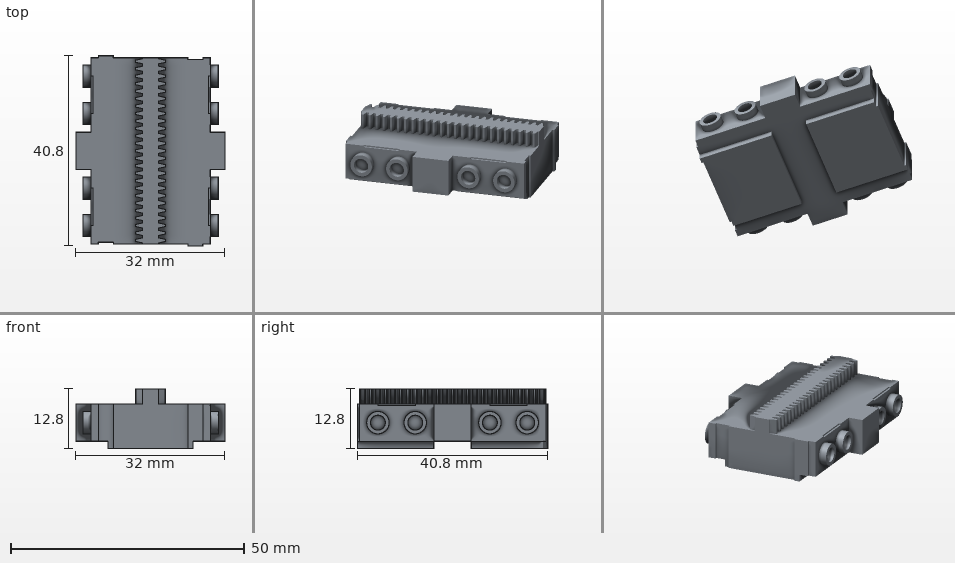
import cadquery as cq

grid = 8.0

body_width = 25.6
body_length = 40.0
body_height = grid
arm_span = 4 * grid
arm_width = grid

base_width = 18.28
base_height = 1.6
base_gap = grid

tab_width = 3.2
tab_depth = 0.4
tab_offset = 9.6

stud_diameter = 4.8
stud_bore_diameter = 3.2
stud_length = 1.7
stud_positions = [-2 * grid, -grid, grid, 2 * grid]

slot_length = grid
slot_offset = 1.5 * grid
slot_depth_x = 0.4
slot_depth_z = 0.33

rack_height = 3.22
rack_tip_width = 6.35
rack_root_width = 3.43
tooth_count = 25
tooth_pitch = body_length / tooth_count
tooth_root_thickness = 1.1
tooth_tip_thickness = 0.45

body_top = body_height
base_bottom = -base_height


def block(size_x, size_y, z_bottom, z_top, x=0, y=0):
    """Upright box centred on (x, y) between two heights."""
    height = z_top - z_bottom
    return cq.Workplane("XY", origin=(x, y, z_bottom)).box(size_x, size_y, height, centered=(True, True, False))


def make_body():
    """Main block with its two side arms and the base underneath."""
    body = block(body_width, body_length, 0, body_top)
    body = body.union(block(arm_span, arm_width, 0, body_top))
    base = block(base_width, body_length, base_bottom, 0)
    return body.union(base)


def add_end_tabs(body):
    """Give each end one tab and one matching notch, turned half a turn from end to end."""
    envelope = block(arm_span, 2 * body_length, 0, body_top).union(
        block(base_width, 2 * body_length, base_bottom, 0)
    )
    end_y = body_length / 2
    for side in (1, -1):
        notch = block(tab_width, 2 * tab_depth, base_bottom, body_top, side * tab_offset, side * end_y)
        tab = block(tab_width, 2 * tab_depth, base_bottom, body_top, -side * tab_offset, side * end_y)
        body = body.cut(notch).union(tab.intersect(envelope))
    return body


def cut_base_gap(body):
    """Cross channel that splits the base into two halves."""
    return body.cut(block(arm_span, base_gap, base_bottom, 0))


def cut_edge_slots(body):
    """Shallow rebates along the top side edges, one between each pair of studs."""
    for side_x in (1, -1):
        for side_y in (1, -1):
            slot = block(
                2 * slot_depth_x, slot_length, body_top - slot_depth_z, body_top,
                side_x * body_width / 2, side_y * slot_offset,
            )
            body = body.cut(slot)
    return body


def add_studs(body):
    """Hollow studs on both long sides."""
    for side in (1, -1):
        for y in stud_positions:
            plane = cq.Plane(
                origin=(side * body_width / 2, y, body_height / 2), xDir=(0, 1, 0), normal=(side, 0, 0)
            )
            stud = cq.Workplane(plane).circle(stud_diameter / 2).circle(stud_bore_diameter / 2)
            body = body.union(stud.extrude(stud_length))
    return body


def make_rack():
    """Double-sided rack: tapered teeth on both sides of a central web."""
    rack = block(rack_root_width, body_length, body_top, body_top + rack_height)
    half_root = tooth_root_thickness / 2
    half_tip = tooth_tip_thickness / 2
    for index in range(tooth_count):
        y = (index - (tooth_count - 1) / 2) * tooth_pitch
        tooth_pair = (
            cq.Workplane("XY", origin=(0, y, body_top))
            .polyline([
                (-rack_tip_width / 2, -half_tip),
                (-rack_root_width / 2, -half_root),
                (rack_root_width / 2, -half_root),
                (rack_tip_width / 2, -half_tip),
                (rack_tip_width / 2, half_tip),
                (rack_root_width / 2, half_root),
                (-rack_root_width / 2, half_root),
                (-rack_tip_width / 2, half_tip),
            ])
            .close()
            .extrude(rack_height)
        )
        rack = rack.union(tooth_pair)
    return rack


result = make_body()
result = add_end_tabs(result)
result = cut_base_gap(result)
result = cut_edge_slots(result)
result = add_studs(result)
result = result.union(make_rack())